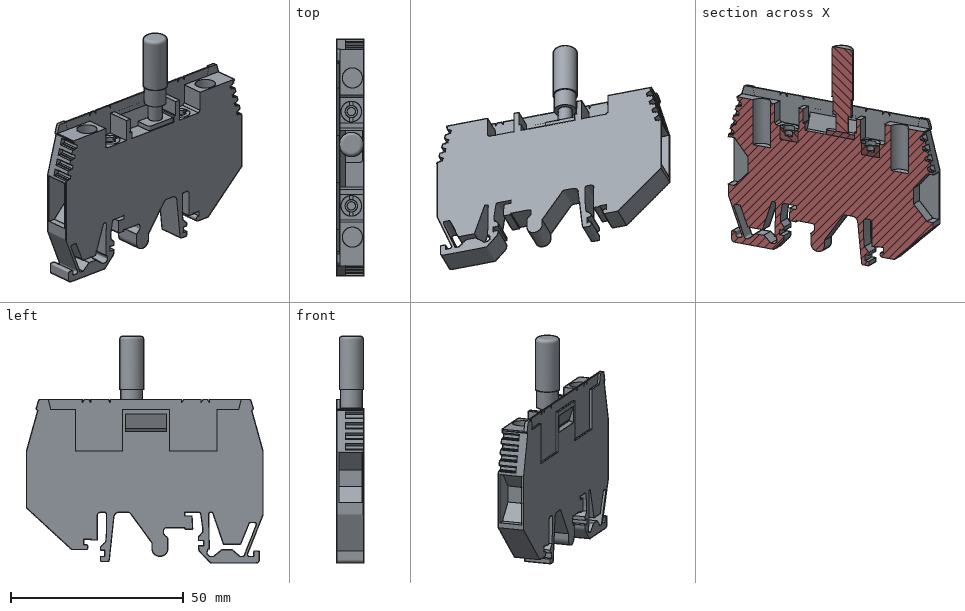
import cadquery as cq
import math

length = 68.5
width = 7.9
stud_top = 65.6
half_length = length / 2
outer_x = width / 2

side_bottom_rear = 15.95
side_bottom_front = 14.0
side_top = 32.25
slope_end_y = 30.95
slope_end_z = 44.1
body_top = 44.7
body_lip_y = 31.3
body_lip_bottom = 44.3
end_chamfer = 0.2

plate_thickness = 1.0
plate_top = 47.3
plate_inner_x = plate_thickness - outer_x
plate_shoulder_y = 31.45
plate_shoulder_z = 44.6
plate_top_y = 30.6
plate_corner_radius = 0.6

label_depth = 0.65
label_top_y = 27.9
label_strip_y = 27.1
label_strip_z = 44.3
tab_bottom_z = 32.4
tab_width = 13.6
tab_offset = 13.6
label_middle = -0.4

middle = -0.35
pocket_floor = 38.35
rib_outer = 10.35
rib_inner = 8.85
stud_floor_half = 8.2
stud_ledge = 40.4
block_top_edge = 18.35
block_bottom_edge = 17.75

notch_depth = 0.9
notch_width = 0.55
notches = [(rib_outer, 1), (15.95, 1), (block_top_edge, -1)]

window_width = 11.8
window_top = 43.0
window_back_top = 38.9
window_bottom = 38.1
window_back_bottom = 38.5
window_depth = 1.4
bulge_x = -1.4

tool_hole_diameter = 5.8
tool_hole_x = 0.6
tool_hole_offset = 23.0
tool_hole_depth = 13.7

groove_count = 4
groove_pitch = 3.0
groove_first_top = 43.65
groove_depth = 1.5
groove_start_x = -1.4
groove_back_top = 0.75
groove_inner_floor = 1.65
groove_outer_floor = 1.85

funnel_x_min = -3.3
funnel_x_max = 3.4
funnel_top = 31.9
funnel_bottom = 17.5
funnel_throat_top = 26.85
funnel_throat_bottom = 22.05
funnel_ledge = 2.05
funnel_depth = 6.6

screw_x = 0.31
screw_offset = 13.6
screw_diameter = 5.95
screw_length = 4.1
screw_recess_diameter = 3.55
screw_recess_depth = 1.4
screw_bore_diameter = 2.4
screw_bore_depth = 2.75
screw_slot_width = 0.95
screw_slot_depth = 0.7

stud_x = 0.35
stud_y = 3.8
stud_diameter = 7.05
stud_round = 1.0
collar_diameter = 6.4
collar_top = 50.15
collar_bottom = 44.8
stem_diameter = 4.1
seat_thickness = 1.4
seat_x_max = 3.55
seat_y_min = -1.45
seat_corner_radius = 0.8
seat_y_max = middle + stud_floor_half
seat_top = pocket_floor + seat_thickness

body_outline = [
    (body_lip_y, body_top), (body_lip_y, body_lip_bottom), (slope_end_y, slope_end_z),
    (half_length, side_top),
    (half_length, side_bottom_rear), (21.1, 3.85), (16.45, 3.85, 0.7), (16.45, 5.35, 0.6),
    (17.6, 5.35), (17.6, 6.85), (15.5, 6.85), (15.5, 6.65), (13.7, 6.65),
    (13.7, 14.65, 0.95), (11.1, 14.65, 0.55), (11.1, 8.7), (11.3, 6.15), (12.8, 4.65),
    (12.8, 3.6, 0.4), (11.6, 3.6), (11.6, 1.9), (12.8, 1.9), (12.8, 0.4, 0.4),
    (10.3, 0.4, 0.6),
    (8.8, 14.65, 1.5), (4.4, 14.65, 1.0), (-2.05, 5.8), (-2.05, 1.9, 2.25), (-6.7, 1.9, 2.25),
    (-6.7, 7.1), (-5.5, 8.35, 0.2), (-5.5, 10.15, 0.7), (-11.5, 10.15), (-11.7, 9.7),
    (-13.9, 9.7, 0.3), (-13.7, 13.6), (-11.6, 13.6, 0.2), (-11.6, 14.65),
    (-16.1, 14.65, 0.7), (-16.7, 10.3), (-16.7, 8.9), (-15.5, 7.55), (-15.5, 6.45),
    (-17.0, 6.45), (-17.0, 5.0), (-15.5, 5.0),
    (-15.6, 3.55, 1.7), (-19.05, 0.0, 0.7), (-33.15, 0.0, 0.9), (-33.15, 3.5, 0.4),
    (-31.5, 3.5, 0.3), (-31.5, 1.9, 0.2), (-29.45, 1.9, 0.55),
    (-half_length, side_bottom_front, 1.4), (-half_length, side_top),
    (-slope_end_y, slope_end_z), (-body_lip_y, body_lip_bottom), (-body_lip_y, body_top),
]

spring_opening = [
    (-18.7, 4.05), (-18.5, 14.65, 0.55), (-19.6, 14.65, 0.4), (-22.75, 5.4), (-27.75, 5.4, 0.4),
    (-30.3, 11.65, 0.3), (-32.5, 11.65, 0.5), (-28.6, 1.9, 0.4), (-27.55, 1.9),
    (-25.2, 3.9), (-22.3, 3.9), (-19.85, 1.9), (-18.7, 1.9, 0.55), (-17.95, 2.75, 0.55),
    (-18.3, 4.0),
]


def rounded_outline(corners, x_start):
    """Closed YZ outline at x_start, with an arc at each corner that has a radius."""
    pieces = []
    count = len(corners)
    for i, corner in enumerate(corners):
        here = cq.Vector(corner[0], corner[1])
        if len(corner) == 2:
            pieces.append([here])
            continue
        before = corners[i - 1]
        after = corners[(i + 1) % count]
        to_before = (cq.Vector(before[0], before[1]) - here).normalized()
        to_after = (cq.Vector(after[0], after[1]) - here).normalized()
        half_angle = to_before.getAngle(to_after) / 2
        radius = corner[2]
        reach = radius / math.tan(half_angle)
        bisector = (to_before + to_after).normalized()
        middle_reach = radius / math.sin(half_angle) - radius
        pieces.append([here + to_before * reach, here + bisector * middle_reach, here + to_after * reach])
    path = cq.Workplane("YZ", origin=(x_start, 0, 0)).moveTo(pieces[0][-1].x, pieces[0][-1].y)
    for piece in pieces[1:]:
        path = path.lineTo(piece[0].x, piece[0].y)
        if len(piece) == 3:
            path = path.threePointArc((piece[1].x, piece[1].y), (piece[2].x, piece[2].y))
    return path.close()


def box_between(x_range, y_range, z_range):
    """Box that fills the three given ranges."""
    return cq.Workplane("XY").box(
        x_range[1] - x_range[0], y_range[1] - y_range[0], z_range[1] - z_range[0], centered=False
    ).translate((x_range[0], y_range[0], z_range[0]))


def both_ends(shape):
    """The shape together with its mirror image at the other end of the housing."""
    return shape.add(shape.mirror("XZ"))


def body():
    """Full-width body with the rail foot and the spring opening."""
    outline = rounded_outline(body_outline, -outer_x).extrude(width)
    opening = rounded_outline(spring_opening, -outer_x).extrude(width)
    edge_corner = (
        cq.Workplane("XY", origin=(0, 0, side_bottom_front))
        .polyline([
            (outer_x, -half_length),
            (outer_x, end_chamfer - half_length),
            (outer_x - end_chamfer, -half_length),
        ])
        .close()
        .extrude(side_top - side_bottom_front)
    )
    return outline.cut(opening).cut(edge_corner)


def side_plate():
    """Thin plate on the -X side that reaches above the body."""
    corners = [
        (slope_end_y, slope_end_z), (plate_shoulder_y, plate_shoulder_z),
        (plate_top_y, plate_top, plate_corner_radius),
        (-plate_top_y, plate_top, plate_corner_radius),
        (-plate_shoulder_y, plate_shoulder_z), (-slope_end_y, slope_end_z),
    ]
    return rounded_outline(corners, -outer_x).extrude(plate_thickness)


def label_recess():
    """Strip along the top edge with two tabs that hang down from it."""
    recess = rounded_outline(
        [(label_top_y, plate_top), (label_strip_y, label_strip_z),
         (-label_strip_y, label_strip_z), (-label_top_y, plate_top)],
        -outer_x,
    ).extrude(label_depth)
    for side in (-1, 1):
        tab_start = label_middle + side * tab_offset - tab_width / 2
        tab = box_between(
            (-outer_x, label_depth - outer_x),
            (tab_start, tab_start + tab_width),
            (tab_bottom_z, label_strip_z),
        )
        recess = recess.union(tab)
    return recess


def plate_notches():
    """Small triangular notches in the top edge of the side plate."""
    cuts = cq.Workplane("YZ")
    for side in (-1, 1):
        for distance, opening in notches:
            wall = middle + side * distance
            far = wall + side * opening * notch_width
            corners = [(wall, plate_top), (wall, plate_top - notch_depth), (far, plate_top)]
            cuts = cuts.add(rounded_outline(corners, -outer_x).extrude(plate_thickness))
    return cuts


def upper_pockets():
    """Stud pocket between the ribs, and a screw pocket on each side of it."""
    depth_x = outer_x - plate_inner_x
    slope_top = pocket_floor + block_top_edge - block_bottom_edge
    pockets = rounded_outline(
        [(middle + rib_inner, body_top), (middle + rib_inner, stud_ledge),
         (middle + stud_floor_half, stud_ledge), (middle + stud_floor_half, pocket_floor),
         (middle - stud_floor_half, pocket_floor), (middle - stud_floor_half, stud_ledge),
         (middle - rib_inner, stud_ledge), (middle - rib_inner, body_top)],
        plate_inner_x,
    ).extrude(depth_x)
    for side in (-1, 1):
        corners = [
            (middle + side * rib_outer, body_top), (middle + side * rib_outer, pocket_floor),
            (middle + side * block_bottom_edge, pocket_floor),
            (middle + side * block_top_edge, slope_top),
            (middle + side * block_top_edge, body_top),
        ]
        pockets = pockets.add(rounded_outline(corners, plate_inner_x).extrude(depth_x))
    return pockets


def window_bulge():
    """Thickening behind the window, sloping like its ceiling, across the stud pocket."""
    return (
        cq.Workplane("XZ", origin=(0, middle + stud_floor_half, 0))
        .polyline([(plate_inner_x, pocket_floor), (plate_inner_x, window_top), (bulge_x, pocket_floor)])
        .close()
        .extrude(2 * stud_floor_half)
    )


def window():
    """Recess in the -X face with a sloping ceiling."""
    back_x = window_depth - outer_x
    return (
        cq.Workplane("XZ", origin=(0, middle + window_width / 2, 0))
        .polyline([
            (-outer_x, window_bottom), (-outer_x, window_top),
            (back_x, window_back_top), (back_x, window_back_bottom),
        ])
        .close()
        .extrude(window_width)
    )


def tool_holes():
    """Blind round holes in the tops of both end blocks."""
    return (
        cq.Workplane("XY", origin=(0, 0, body_top - tool_hole_depth))
        .pushPoints([(tool_hole_x, -tool_hole_offset), (tool_hole_x, tool_hole_offset)])
        .circle(tool_hole_diameter / 2)
        .extrude(tool_hole_depth)
    )


def face_y(z):
    """Y of the leaning +Y end face at height z."""
    fraction = (z - side_top) / (slope_end_z - side_top)
    return half_length + fraction * (slope_end_y - half_length)


def grip_grooves():
    """Row of grooves with stepped floors across the leaning face at each end."""
    grooves = cq.Workplane("YZ")
    for i in range(groove_count):
        top = groove_first_top - i * groove_pitch
        profile = [
            (0, 0), (groove_depth, groove_back_top), (groove_depth, groove_inner_floor),
            (groove_depth / 2, groove_inner_floor), (groove_depth / 2, groove_outer_floor),
            (0, groove_outer_floor),
        ]
        corners = [(face_y(top - drop) - inset, top - drop) for inset, drop in profile]
        groove = rounded_outline(corners, groove_start_x).extrude(outer_x - groove_start_x)
        grooves = grooves.add(groove)
    return both_ends(grooves)


def wire_funnels():
    """Wire entry at each end: a straight mouth, then slopes down to a smaller throat."""
    mouth = half_length - funnel_ledge
    throat = half_length - funnel_depth
    corners = [
        (half_length, funnel_bottom), (half_length, funnel_top), (mouth, funnel_top),
        (throat, funnel_throat_top), (throat, funnel_throat_bottom), (mouth, funnel_bottom),
    ]
    return both_ends(rounded_outline(corners, funnel_x_min).extrude(funnel_x_max - funnel_x_min))


def make_screw(y):
    """Slotted clamp screw with a stepped hole in its head, flush with the pocket floor."""
    slot = cq.Workplane("XY").box(screw_slot_width, screw_diameter, screw_slot_depth)
    screw = (
        cq.Workplane("XY")
        .circle(screw_diameter / 2)
        .extrude(-screw_length)
        .cut(cq.Workplane("XY").circle(screw_recess_diameter / 2).extrude(-screw_recess_depth))
        .cut(cq.Workplane("XY").circle(screw_bore_diameter / 2).extrude(-screw_bore_depth))
        .cut(slot.translate((0, 0, -screw_slot_depth / 2)))
    )
    return screw.translate((screw_x, y, pocket_floor))


def make_stud():
    """Round-topped stud with a collar and a thin stem that stands on the seat plate."""
    head = cq.Workplane("XY", origin=(stud_x, stud_y, collar_top)).circle(stud_diameter / 2)
    head = head.extrude(stud_top - collar_top).faces(">Z").edges().fillet(stud_round)
    collar = cq.Workplane("XY", origin=(stud_x, stud_y, collar_bottom)).circle(collar_diameter / 2)
    collar = collar.extrude(collar_top - collar_bottom)
    stem = cq.Workplane("XY", origin=(stud_x, stud_y, seat_top)).circle(stem_diameter / 2)
    stem = stem.extrude(collar_bottom - seat_top)
    return head.union(collar).union(stem)


def make_seat():
    """Metal plate on the floor of the stud pocket, against its +Y wall and the bulge."""
    plate = box_between((bulge_x, seat_x_max), (seat_y_min, seat_y_max), (pocket_floor, seat_top))
    return plate.edges("|Z and >X and <Y").fillet(seat_corner_radius)


def make_housing(screw_places):
    """Housing with all its pockets, and holes that fit the screws."""
    housing = body().union(side_plate())
    for cut in upper_pockets().vals():
        housing = housing.cut(cq.Workplane(cut))
    housing = housing.union(window_bulge())
    cuts = [label_recess(), window(), tool_holes(), plate_notches(), grip_grooves(), wire_funnels()]
    for feature in cuts:
        for cut in feature.vals():
            housing = housing.cut(cq.Workplane(cut))
    screw_holes = (
        cq.Workplane("XY", origin=(0, 0, pocket_floor - screw_length))
        .pushPoints([(screw_x, y) for y in screw_places])
        .circle(screw_diameter / 2)
        .extrude(screw_length)
    )
    return housing.cut(screw_holes)


screw_places = [middle - screw_offset, middle + screw_offset]
housing = make_housing(screw_places)
screws = [make_screw(y) for y in screw_places]
stud = make_stud()
seat = make_seat()

bodies = [housing, *screws, stud, seat]
result = cq.Compound.makeCompound([part.solids().val() for part in bodies])